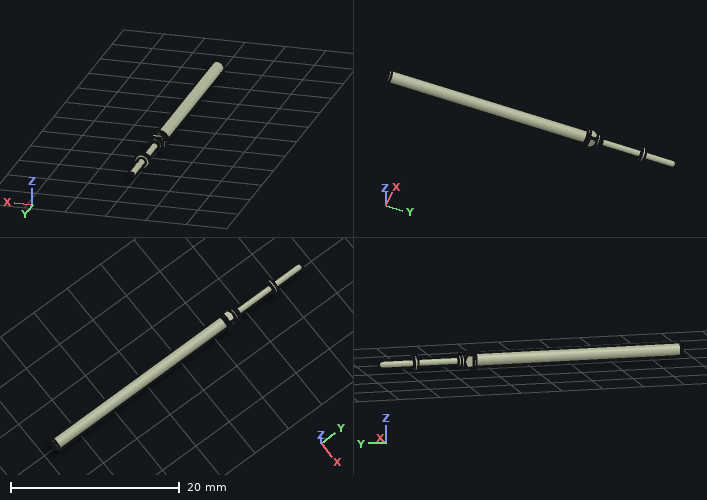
import cadquery as cq

total_length = 37.2

barrel_radius = 0.837
barrel_end_radius = 0.65
barrel_chamfer_length = 0.3

flange_start = 25.5
flange_thickness = 0.3
flange_radius = 1.15
flange_end = flange_start + flange_thickness

square_width = 2 * barrel_radius
corner_radius = 1.1
corner_taper_start = 26.52
corner_taper_length = 0.3

nose_radius = barrel_radius
nose_end_radius = 0.65
nose_taper_length = 0.35
nose_end = 27.53

pin_radius = 0.502
pin_tip_radius = 0.2
pin_tip_length = 0.5
pin_tip_bulge = 0.07

collar_start = 32.55
collar_thickness = 0.45
collar_radius = 0.95


def turned(profile):
    """Solid of revolution about the Y axis from a half profile of (radius, place) points."""
    return cq.Workplane("XY").polyline(profile).close().revolve(360, (0, 0, 0), (0, 1, 0))


def cylinder(radius, start, length):
    """Round disc or bar centred on the Y axis."""
    return cq.Workplane("XZ", origin=(0, start, 0)).circle(radius).extrude(-length)


def make_barrel():
    """Long round barrel with a conical chamfer at its free end."""
    return turned([
        (0, 0),
        (barrel_end_radius, 0),
        (barrel_radius, barrel_chamfer_length),
        (barrel_radius, flange_start),
        (0, flange_start),
    ])


def make_head():
    """Square head with rounded corners that taper down to a round, chamfered nose."""
    blank = turned([
        (0, flange_end),
        (corner_radius, flange_end),
        (corner_radius, corner_taper_start),
        (nose_radius, corner_taper_start + corner_taper_length),
        (nose_radius, nose_end - nose_taper_length),
        (nose_end_radius, nose_end),
        (0, nose_end),
    ])
    square = cq.Workplane("XZ", origin=(0, flange_end, 0)).rect(square_width, square_width)
    return blank.intersect(square.extrude(flange_end - nose_end))


def make_pin():
    """Slim pin with a slightly bulging, blunt tip."""
    tip_start = total_length - pin_tip_length
    profile = (
        cq.Workplane("XY")
        .moveTo(0, nose_end)
        .lineTo(pin_radius, nose_end)
        .lineTo(pin_radius, tip_start)
        .sagittaArc((pin_tip_radius, total_length), -pin_tip_bulge)
        .lineTo(0, total_length)
        .close()
    )
    return profile.revolve(360, (0, 0, 0), (0, 1, 0))


flange = cylinder(flange_radius, flange_start, flange_thickness)
collar = cylinder(collar_radius, collar_start, collar_thickness)

result = make_barrel().union(flange).union(make_head()).union(make_pin()).union(collar)